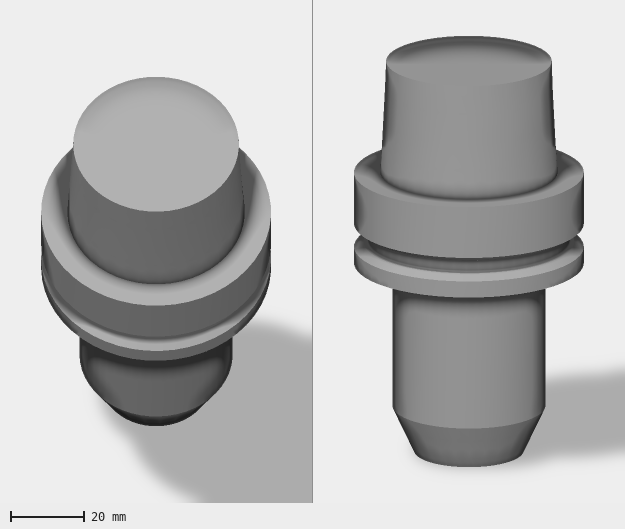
import cadquery as cq
import math


TOTAL_LENGTH = 112.0

SHANK_LENGTH = 32.0
SHANK_BASE_DIAMETER = 48.6
SHANK_TAPER = 1 / 10

FLANGE_DIAMETER = 63.0
FLANGE_HEIGHT = 26.0

GROOVE_DIAMETER = 55.0
GROOVE_CENTRE_DEPTH = 18.0
GROOVE_SLOT_WIDTH = 3.75
GROOVE_CORNER_RADIUS = 0.5
GROOVE_MOUTH_WIDTH = 6.75
GROOVE_FLANK_ANGLE = 30.0

NECK_DIAMETER = 42.0
NECK_FILLET = 5.0

NOSE_LENGTH = 13.0
NOSE_TIP_DIAMETER = 30.0

shank_base_radius = SHANK_BASE_DIAMETER / 2
shank_top_radius = shank_base_radius - SHANK_LENGTH * SHANK_TAPER / 2
flange_radius = FLANGE_DIAMETER / 2
groove_radius = GROOVE_DIAMETER / 2
neck_radius = NECK_DIAMETER / 2
nose_tip_radius = NOSE_TIP_DIAMETER / 2

bottom_z = SHANK_LENGTH - TOTAL_LENGTH
nose_top_z = bottom_z + NOSE_LENGTH


def make_body():
    """Revolve the half outline: nose, neck, filleted flange and tapered shank."""
    fillet_centre_r = neck_radius + NECK_FILLET
    fillet_centre_z = -FLANGE_HEIGHT - NECK_FILLET
    fillet_offset = NECK_FILLET * math.sqrt(0.5)
    fillet_middle = (fillet_centre_r - fillet_offset, fillet_centre_z + fillet_offset)
    return (
        cq.Workplane("XZ")
        .moveTo(0, bottom_z)
        .lineTo(nose_tip_radius, bottom_z)
        .lineTo(neck_radius, nose_top_z)
        .lineTo(neck_radius, fillet_centre_z)
        .threePointArc(fillet_middle, (fillet_centre_r, -FLANGE_HEIGHT))
        .lineTo(flange_radius, -FLANGE_HEIGHT)
        .lineTo(flange_radius, 0)
        .lineTo(shank_base_radius, 0)
        .lineTo(shank_top_radius, SHANK_LENGTH)
        .lineTo(0, SHANK_LENGTH)
        .close()
        .revolve(360, (0, 0, 0), (0, 1, 0))
    )


def make_groove():
    """Ring cut from the flange: slot with rounded floor corners and sloping flanks at its mouth."""
    half_slot = GROOVE_SLOT_WIDTH / 2
    half_mouth = GROOVE_MOUTH_WIDTH / 2
    flank_depth = (half_mouth - half_slot) / math.tan(math.radians(GROOVE_FLANK_ANGLE))
    flank_radius = flange_radius - flank_depth

    corner_centre_r = groove_radius + GROOVE_CORNER_RADIUS
    corner_centre_z = half_slot - GROOVE_CORNER_RADIUS
    corner_offset = GROOVE_CORNER_RADIUS * math.sqrt(0.5)
    corner_middle_r = corner_centre_r - corner_offset
    corner_middle_z = corner_centre_z + corner_offset
    return (
        cq.Workplane("XZ", origin=(0, 0, -GROOVE_CENTRE_DEPTH))
        .moveTo(groove_radius, -corner_centre_z)
        .threePointArc((corner_middle_r, -corner_middle_z), (corner_centre_r, -half_slot))
        .lineTo(flank_radius, -half_slot)
        .lineTo(flange_radius, -half_mouth)
        .lineTo(flange_radius, half_mouth)
        .lineTo(flank_radius, half_slot)
        .lineTo(corner_centre_r, half_slot)
        .threePointArc((corner_middle_r, corner_middle_z), (groove_radius, corner_centre_z))
        .close()
        .revolve(360, (0, 0, 0), (0, 1, 0))
    )


result = make_body().cut(make_groove())